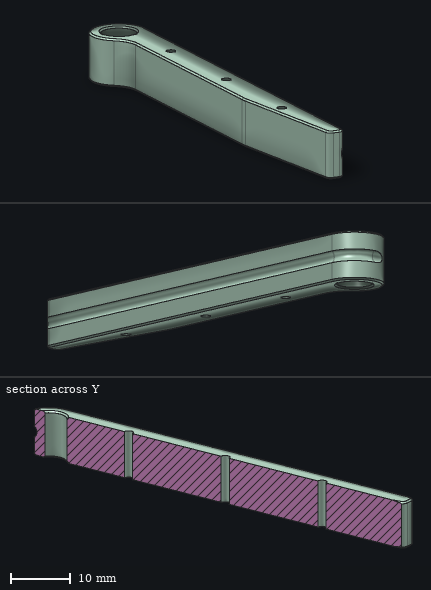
import cadquery as cq
import math

height = 8.3
barrel_radius = 5.0
bore_diameter = 6.0

arm_thickness = 6.0
arm_back_y = barrel_radius
arm_front_y = arm_back_y - arm_thickness
tip_x = 72.0
taper_start_x = 47.0
tip_width = 3.0
neck_radius = 5.0
taper_blend_radius = 10.0
tip_radius = 1.0

hole_diameter = 1.6
hole_count = 3
hole_first_x = 15.0
hole_pitch = 20.0
hole_y = 2.0

edge_break = 0.3

groove_radius = 1.25
groove_depth = 0.5
groove_z = height / 2


def make_body():
    """Barrel and tapered arm, joined by a neck arc tangent to both."""
    neck_y = arm_front_y - neck_radius
    centre_distance = barrel_radius + neck_radius
    neck_x = math.sqrt(centre_distance**2 - neck_y**2)
    touch_ratio = barrel_radius / centre_distance
    touch = (neck_x * touch_ratio, neck_y * touch_ratio)
    neck_middle_angle = (math.pi / 2 + math.atan2(-neck_y, -neck_x)) / 2
    neck_middle = (
        neck_x + neck_radius * math.cos(neck_middle_angle),
        neck_y + neck_radius * math.sin(neck_middle_angle),
    )
    body = (
        cq.Workplane("XY")
        .moveTo(0, arm_back_y)
        .threePointArc((-barrel_radius, 0), touch)
        .threePointArc(neck_middle, (neck_x, arm_front_y))
        .lineTo(taper_start_x, arm_front_y)
        .lineTo(tip_x, arm_back_y - tip_width)
        .lineTo(tip_x, arm_back_y)
        .close()
        .extrude(height)
    )
    taper_edge = cq.selectors.NearestToPointSelector((taper_start_x, arm_front_y, height / 2))
    body = body.edges(taper_edge).fillet(taper_blend_radius)
    return body.faces(">X").edges("|Z").fillet(tip_radius)


def cut_bore(body):
    bore = cq.Workplane("XY").circle(bore_diameter / 2).extrude(height)
    return body.cut(bore)


def break_edges(body):
    """Chamfer the outline and the bore on both the top and bottom faces."""
    return body.faces("<Z or >Z").edges().chamfer(edge_break)


def cut_screw_holes(body):
    centres = [(hole_first_x + i * hole_pitch, hole_y) for i in range(hole_count)]
    holes = cq.Workplane("XY").pushPoints(centres).circle(hole_diameter / 2).extrude(height)
    return body.cut(holes)


def cut_groove(body):
    """Round groove: straight on the back, a quarter turn on the barrel, then out along -Y."""
    path_radius = barrel_radius - groove_depth + groove_radius
    arc_middle = path_radius * math.sqrt(0.5)
    path = (
        cq.Workplane("XY", origin=(0, 0, groove_z))
        .moveTo(tip_x, path_radius)
        .lineTo(0, path_radius)
        .threePointArc((-arc_middle, arc_middle), (-path_radius, 0))
        .lineTo(-path_radius, -barrel_radius)
    )
    cutter = (
        cq.Workplane("YZ", origin=(tip_x, path_radius, groove_z))
        .circle(groove_radius)
        .sweep(path)
    )
    return body.cut(cutter)


result = make_body()
result = cut_bore(result)
result = break_edges(result)
result = cut_screw_holes(result)
result = cut_groove(result)